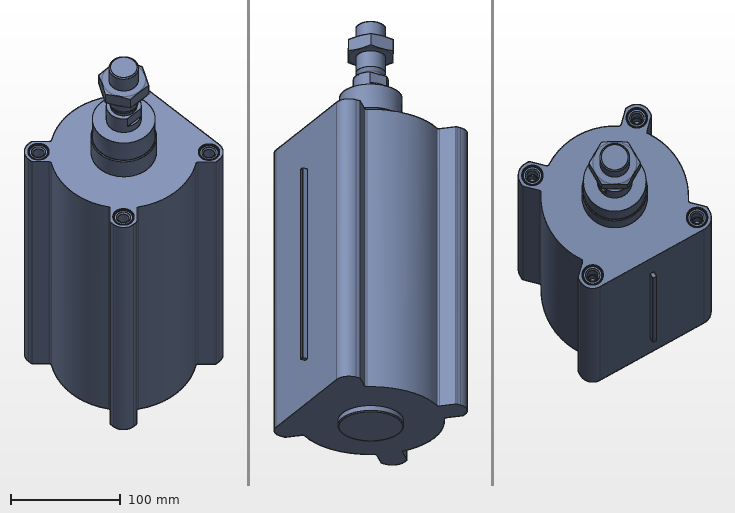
import cadquery as cq
import math


rear_boss_height = 6.0
barrel_length = 285.0
collar_height = 22.0
sleeve_height = 24.0
thread_length = 54.0
total_height = 410.0
barrel_top = rear_boss_height + barrel_length
collar_top = barrel_top + collar_height
sleeve_top = collar_top + sleeve_height
shank_top = total_height - thread_length

barrel_radius = 67.4
screw_spacing = 110.0
corner_radius = 13.0
half_width = screw_spacing / 2 + corner_radius
lobe_half_width = 12.2
edge_fillet = 2.0

boss_diameter = 60.0
boss_chamfer = 1.0
sleeve_diameter = 57.4
sleeve_waist_diameter = 56.8

screw_rim_diameter = 19.6
screw_gap_diameter = 18.63
screw_gap_depth = 5.0
screw_head_diameter = 18.0
screw_head_drop = 1.0
screw_head_chamfer = 0.7
thread_mouth_diameter = 13.0
thread_bore_diameter = 10.11
thread_bore_depth = 14.0
inner_bore_diameter = 8.0
inner_bore_depth = 24.0

rail_width = 4.0
rail_height = 5.0
rail_length = 195.0
rail_bottom = rear_boss_height + (barrel_length - rail_length) / 2
rail_chamfer = 0.4

shank_diameter = 32.0
flats_width = 27.0
flats_height = 11.0
thread_diameter = 27.0
neck_diameter = 24.3
neck_height = 3.0
neck_taper_height = 4.0
tip_diameter = 24.3
tip_chamfer_height = 1.0

nut_width = 41.0
nut_thickness = 13.5
nut_top = 392.5
nut_chamfer_angle = 15.0
nut_sides = 6
nut_half_side_angle = 180 / nut_sides
nut_corner_diameter = nut_width / math.cos(math.radians(nut_half_side_angle))
nut_face_diameter = 40.2


flank_offset = math.sqrt(2) * lobe_half_width
flank_start = half_width - flank_offset
notch_near = (math.sqrt(2 * barrel_radius**2 - flank_offset**2) - flank_offset) / 2
notch_far = notch_near + flank_offset


def barrel():
    """Round barrel with four corner lobes and a flat +Y side."""
    axis = screw_spacing / 2
    arc_mid = axis + corner_radius * math.sin(math.radians(45))
    outline = (
        cq.Workplane("XY", origin=(0, 0, rear_boss_height))
        .moveTo(-axis, half_width)
        .lineTo(axis, half_width)
        .threePointArc((arc_mid, arc_mid), (half_width, axis))
        .lineTo(half_width, flank_start)
        .lineTo(notch_far, notch_near)
        .threePointArc((barrel_radius, 0), (notch_far, -notch_near))
        .lineTo(half_width, -flank_start)
        .lineTo(half_width, -axis)
        .threePointArc((arc_mid, -arc_mid), (axis, -half_width))
        .lineTo(flank_start, -half_width)
        .lineTo(notch_near, -notch_far)
        .threePointArc((0, -barrel_radius), (-notch_near, -notch_far))
        .lineTo(-flank_start, -half_width)
        .lineTo(-axis, -half_width)
        .threePointArc((-arc_mid, -arc_mid), (-half_width, -axis))
        .lineTo(-half_width, -flank_start)
        .lineTo(-notch_far, -notch_near)
        .threePointArc((-barrel_radius, 0), (-notch_far, notch_near))
        .lineTo(-half_width, flank_start)
        .lineTo(-half_width, axis)
        .threePointArc((-arc_mid, arc_mid), (-axis, half_width))
        .close()
    )
    tip_reach = math.hypot(half_width, axis) - edge_fillet / 2
    return (
        outline.extrude(barrel_length)
        .edges("|Z")
        .filter(lambda edge: math.hypot(edge.Center().x, edge.Center().y) < tip_reach)
        .fillet(edge_fillet)
    )


def rear_boss():
    """Chamfered disc below the barrel."""
    disc = cq.Workplane("XY").circle(boss_diameter / 2).extrude(rear_boss_height)
    return disc.faces("<Z").chamfer(boss_chamfer)


def front_collar():
    """Chamfered collar above the barrel that carries a slightly waisted sleeve."""
    collar = (
        cq.Workplane("XY", origin=(0, 0, barrel_top))
        .circle(boss_diameter / 2)
        .extrude(collar_height)
        .faces(">Z")
        .chamfer(boss_chamfer)
    )
    sleeve = (
        cq.Workplane("XZ")
        .moveTo(0, collar_top)
        .lineTo(sleeve_diameter / 2, collar_top)
        .threePointArc(
            (sleeve_waist_diameter / 2, collar_top + sleeve_height / 2),
            (sleeve_diameter / 2, sleeve_top),
        )
        .lineTo(0, sleeve_top)
        .close()
        .revolve(360, (0, 0, 0), (0, 1, 0))
    )
    return collar.union(sleeve)


def screw_recess():
    """Space around and above a screw head, together with the stepped bore in its middle."""
    rim_chamfer = (screw_rim_diameter - screw_gap_diameter) / 2
    mouth_chamfer = (thread_mouth_diameter - thread_bore_diameter) / 2
    head_radius = screw_head_diameter / 2
    head_top = barrel_top - screw_head_drop
    gap_floor = barrel_top - screw_gap_depth
    thread_floor = barrel_top - thread_bore_depth
    bore_floor = barrel_top - inner_bore_depth
    return (
        cq.Workplane("XZ")
        .moveTo(0, barrel_top)
        .lineTo(screw_rim_diameter / 2, barrel_top)
        .lineTo(screw_gap_diameter / 2, barrel_top - rim_chamfer)
        .lineTo(screw_gap_diameter / 2, gap_floor)
        .lineTo(head_radius, gap_floor)
        .lineTo(head_radius, head_top - screw_head_chamfer)
        .lineTo(head_radius - screw_head_chamfer, head_top)
        .lineTo(thread_mouth_diameter / 2, head_top)
        .lineTo(thread_bore_diameter / 2, head_top - mouth_chamfer)
        .lineTo(thread_bore_diameter / 2, thread_floor)
        .lineTo(inner_bore_diameter / 2, thread_floor)
        .lineTo(inner_bore_diameter / 2, bore_floor)
        .lineTo(0, bore_floor)
        .close()
        .revolve(360, (0, 0, 0), (0, 1, 0))
    )


def side_rail():
    """Narrow rail standing on the flat +Y side; its inner half is sunk into the barrel."""
    rail = (
        cq.Workplane("XY", origin=(0, half_width, rail_bottom))
        .rect(rail_width, 2 * rail_height)
        .extrude(rail_length)
    )
    return rail.edges("|Z and >Y").chamfer(rail_chamfer)


def make_housing():
    """Barrel with its bosses, side rail and the recesses around its corner screws."""
    body = barrel().union(rear_boss()).union(front_collar()).union(side_rail())
    recess = screw_recess()
    for x_side in (-1, 1):
        for y_side in (-1, 1):
            x_place = x_side * screw_spacing / 2
            y_place = y_side * screw_spacing / 2
            body = body.cut(recess.translate((x_place, y_place, 0)))
    return body


def make_rod():
    """Rod seated on the sleeve, with wrench flats, a neck and a plain full-diameter threaded end."""
    neck_top = shank_top + neck_height
    rod = (
        cq.Workplane("XZ")
        .moveTo(0, sleeve_top)
        .lineTo(shank_diameter / 2, sleeve_top)
        .lineTo(shank_diameter / 2, shank_top)
        .lineTo(neck_diameter / 2, shank_top)
        .lineTo(neck_diameter / 2, neck_top)
        .lineTo(thread_diameter / 2, neck_top + neck_taper_height)
        .lineTo(thread_diameter / 2, total_height - tip_chamfer_height)
        .lineTo(tip_diameter / 2, total_height)
        .lineTo(0, total_height)
        .close()
        .revolve(360, (0, 0, 0), (0, 1, 0))
    )
    flats = (
        cq.Workplane("XY", origin=(0, 0, shank_top - flats_height))
        .rect(2 * shank_diameter, shank_diameter)
        .rect(flats_width, shank_diameter)
        .extrude(flats_height)
    )
    return rod.cut(flats)


def make_nut():
    """Hexagon nut with opposite flats facing X and its corners turned down at both faces."""
    hexagon = (
        cq.Workplane("XY", origin=(0, 0, nut_top - nut_thickness))
        .polygon(nut_sides, nut_corner_diameter)
        .extrude(nut_thickness)
        .rotate((0, 0, 0), (0, 0, 1), nut_half_side_angle)
    )
    chamfer_reach = (nut_corner_diameter - nut_face_diameter) / 2
    chamfer_drop = chamfer_reach * math.tan(math.radians(nut_chamfer_angle))
    turned = (
        cq.Workplane("XY", origin=(0, 0, nut_top - nut_thickness))
        .circle(nut_corner_diameter / 2)
        .extrude(nut_thickness)
        .faces("<Z or >Z")
        .chamfer(chamfer_drop, chamfer_reach)
    )
    bore = (
        cq.Workplane("XY", origin=(0, 0, nut_top - nut_thickness))
        .circle(thread_diameter / 2)
        .extrude(nut_thickness)
    )
    return hexagon.intersect(turned).cut(bore)


housing = make_housing()
rod = make_rod()
nut = make_nut()
result = cq.Compound.makeCompound([housing.val(), rod.val(), nut.val()])